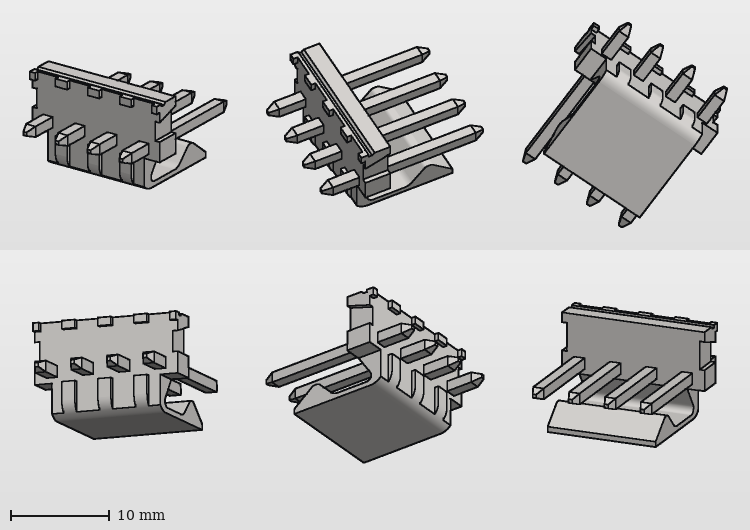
import cadquery as cq


pin_count = 4
pitch = 3.96
pin_width = 1.17
pin_tip_width = 0.4
pin_taper = 1.04
pin_length = 18.29
pin_front = -4.04
pin_height = 4.885

wall_width = 15.7
wall_thickness = 2.82
wall_bottom = 3.71
wall_top = 10.01

groove_front = 0.38
groove_floor_width = 0.37
groove_depth = 0.26
groove_slope_run = 0.3

notch_depth = 0.53
notch_bottom = 5.95
notch_roof_front = 8.08
notch_roof_back = 8.96

standoff = 0.47
tab_width = 1.43
end_tab_width = 0.66
tab_height = 0.85

arm_width = 11.9
arm_thickness = 0.585
arm_end = 10.87
outer_radius = 1.76
root_corner = 0.67
root_radius = 0.61
hump_height = 2.49
hump_back = arm_end - 2.38
hump_front = arm_end - 3.05
hump_foot = hump_front - (hump_height - arm_thickness)
hump_radius = 0.635
foot_radius = 1.27

gap_positions = [(i - (pin_count - 2) / 2) * pitch for i in range(pin_count - 1)]
pin_positions = [(i - (pin_count - 1) / 2) * pitch for i in range(pin_count)]


def block(x_center, x_size, y_range, z_range):
    """Box centred on x_center that spans the given Y and Z ranges."""
    y_size = y_range[1] - y_range[0]
    z_size = z_range[1] - z_range[0]
    box = cq.Workplane("XY").box(x_size, y_size, z_size, centered=(True, False, False))
    return box.translate((x_center, y_range[0], z_range[0]))


def extrude_along_x(outline, x_center, width):
    """Prism of a (Y, Z) outline, centred on x_center."""
    prism = cq.Workplane("YZ").polyline(outline).close().extrude(width / 2, both=True)
    return prism.translate((x_center, 0, 0))


def make_wall():
    wall = block(0, wall_width, (0, wall_thickness), (wall_bottom, wall_top))

    groove_back = groove_front + groove_floor_width
    groove_floor = wall_top - groove_depth
    groove = [
        (groove_front, wall_top),
        (groove_front, groove_floor),
        (groove_back, groove_floor),
        (groove_back + groove_slope_run, wall_top),
    ]
    wall = wall.cut(extrude_along_x(groove, 0, wall_width))

    notch = [
        (0, notch_bottom),
        (wall_thickness, notch_bottom),
        (wall_thickness, notch_roof_back),
        (0, notch_roof_front),
    ]
    for side in (-1, 1):
        notch_center = side * (wall_width - notch_depth) / 2
        wall = wall.cut(extrude_along_x(notch, notch_center, notch_depth))
    return wall


def make_tabs():
    tab_y = (-standoff, groove_front)
    tab_z = (wall_top - tab_height, wall_top)
    end_center = (wall_width - end_tab_width) / 2
    tabs = block(-end_center, end_tab_width, tab_y, tab_z)
    tabs = tabs.union(block(end_center, end_tab_width, tab_y, tab_z))
    for x in gap_positions:
        tabs = tabs.union(block(x, tab_width, tab_y, tab_z))
    return tabs


def make_arm():
    """Hooked arm below the wall; only its pads stand proud of the wall front."""
    outline = [
        (-standoff, wall_bottom),
        (-standoff, 0),
        (arm_end, 0),
        (arm_end, arm_thickness),
        (hump_back, hump_height),
        (hump_front, hump_height),
        (hump_foot, arm_thickness),
        (root_corner, arm_thickness),
        (wall_thickness, wall_bottom),
    ]
    rounded_corners = [
        ((-standoff, 0), outer_radius),
        ((hump_back, hump_height), hump_radius),
        ((hump_front, hump_height), hump_radius),
        ((hump_foot, arm_thickness), foot_radius),
        ((root_corner, arm_thickness), root_radius),
    ]
    arm = extrude_along_x(outline, 0, arm_width)
    for (y, z), radius in rounded_corners:
        corner = cq.selectors.NearestToPointSelector((0, y, z))
        arm = arm.edges("|X").edges(corner).fillet(radius)

    kept = block(0, arm_width, (0, arm_end), (0, wall_bottom))
    for x in gap_positions:
        kept = kept.union(block(x, tab_width, (-standoff, 0), (0, wall_bottom)))
    return arm.intersect(kept)


def make_pin(x):
    """Square pin along Y, tapered at both ends."""
    straight = (pin_front + pin_taper, pin_front + pin_length - pin_taper)
    half_width = pin_width / 2
    pin = block(x, pin_width, straight, (pin_height - half_width, pin_height + half_width))
    for y, direction in zip(straight, (-1, 1)):
        base = cq.Plane(origin=(x, y, pin_height), xDir=(1, 0, 0), normal=(0, direction, 0))
        tip = (
            cq.Workplane(base)
            .rect(pin_width, pin_width)
            .workplane(offset=pin_taper)
            .rect(pin_tip_width, pin_tip_width)
            .loft(ruled=True)
        )
        pin = pin.union(tip)
    return pin


result = make_wall().union(make_tabs()).union(make_arm())
for pin_x in pin_positions:
    result = result.union(make_pin(pin_x))